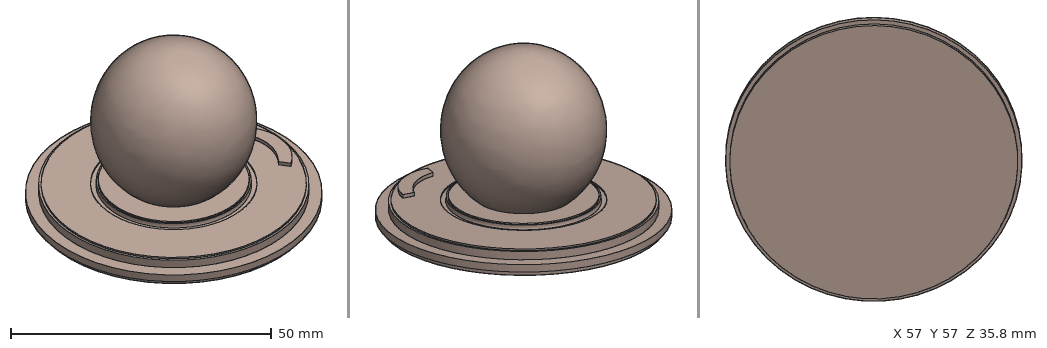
import cadquery as cq

foot_diameter = 55.35
foot_top = 1.0
flange_diameter = 57.0
flange_top = 2.55
plate_diameter = 52.0
plate_shoulder = 4.3
plate_rim_diameter = 51.0
plate_top = 4.6

groove_diameter = 32.0
groove_depth = 0.3
boss_foot_diameter = 30.0
boss_diameter = 29.75
boss_flare_top = 4.8
boss_ledge = 5.25
boss_cap_diameter = 29.1
boss_top_diameter = 28.95
boss_top = 5.5

overall_height = 35.8
knob_diameter = 32.0
knob_center_height = 19.0
knob_half_height = overall_height - knob_center_height

marker_top = 5.35
marker_outer_half_width = 7.2
marker_outer_corner_y = 22.05
marker_outer_crest_y = 25.0
marker_inner_half_width = 5.4
marker_inner_corner_y = 20.35
marker_inner_crest_y = 21.95


def disc(diameter, bottom, top):
    """Upright cylinder on the Z axis between two heights."""
    return cq.Workplane("XY").workplane(offset=bottom).circle(diameter / 2).extrude(top - bottom)


def make_base():
    foot = disc(foot_diameter, 0, foot_top)
    flange = disc(flange_diameter, foot_top, flange_top)
    plate = disc(plate_diameter, flange_top, plate_shoulder)
    rim = disc(plate_rim_diameter, plate_shoulder, plate_top)
    groove = disc(groove_diameter, plate_top - groove_depth, plate_top)
    return foot.union(flange).union(plate).union(rim).cut(groove)


def make_boss():
    """Boss with a flared foot and a low tapered cap, revolved about Z."""
    groove_floor = plate_top - groove_depth
    return (
        cq.Workplane("XZ")
        .moveTo(0, boss_top)
        .lineTo(boss_top_diameter / 2, boss_top)
        .lineTo(boss_cap_diameter / 2, boss_ledge)
        .lineTo(boss_diameter / 2, boss_ledge)
        .lineTo(boss_diameter / 2, boss_flare_top)
        .tangentArcPoint((boss_foot_diameter / 2, groove_floor), relative=False)
        .lineTo(boss_foot_diameter / 2, flange_top)
        .lineTo(0, flange_top)
        .close()
        .revolve(360, (0, 0), (0, 1))
    )


def make_knob():
    """Ellipsoid above the flange, made by revolving half an ellipse about Z."""
    ellipsoid = (
        cq.Workplane("XZ", origin=(0, 0, knob_center_height))
        .moveTo(0, -knob_half_height)
        .ellipseArc(knob_diameter / 2, knob_half_height, -90, 90, startAtCurrent=True)
        .close()
        .revolve(360, (0, 0), (0, 1))
    )
    return ellipsoid.intersect(disc(flange_diameter, flange_top, overall_height))


def make_marker():
    return (
        cq.Workplane("XY", origin=(0, 0, plate_top))
        .moveTo(-marker_outer_half_width, marker_outer_corner_y)
        .threePointArc((0, marker_outer_crest_y), (marker_outer_half_width, marker_outer_corner_y))
        .lineTo(marker_inner_half_width, marker_inner_corner_y)
        .threePointArc((0, marker_inner_crest_y), (-marker_inner_half_width, marker_inner_corner_y))
        .close()
        .extrude(marker_top - plate_top)
    )


result = make_base().union(make_boss()).union(make_knob()).union(make_marker())